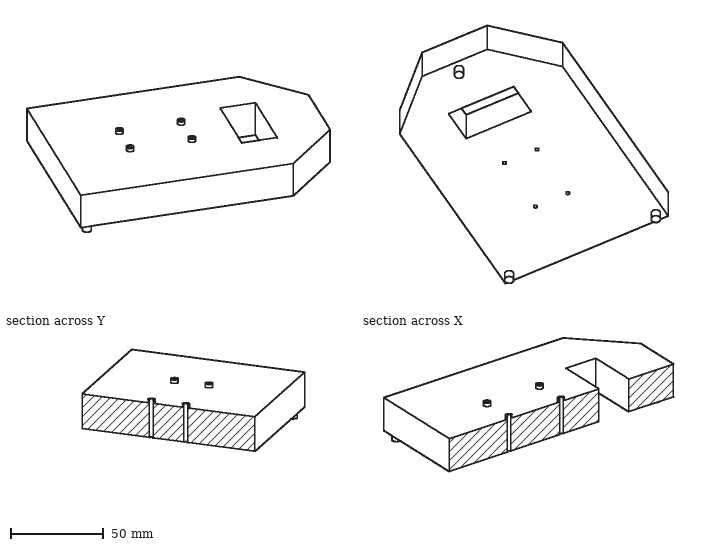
import cadquery as cq

length = 150
width = 100.0
total_height = 27
foot_height = 5.0
boss_height = 2.0
plate_thickness = total_height - foot_height - boss_height

corner_cut = 30
window_width = width - 2 * corner_cut
window_depth = 20.0
window_rear_edge = length - corner_cut

foot_diameter = 5.0
foot_inset = 5.0

boss_diameter = 4.0
bore_diameter = 2.0
boss_spacing_x = 20.0
boss_front_y = 40.0
boss_rear_y = 75

boss_points = [
    (side * boss_spacing_x / 2, y)
    for side in (-1, 1)
    for y in (boss_front_y, boss_rear_y)
]
foot_points = [
    (-width / 2 + foot_inset, foot_inset),
    (width / 2 - foot_inset, foot_inset),
    (0, length - foot_inset),
]


def cylinders(points, diameter, base_z, height):
    """Upright cylinders of one size, starting at base_z."""
    return (
        cq.Workplane("XY", origin=(0, 0, base_z))
        .pushPoints(points)
        .circle(diameter / 2)
        .extrude(height)
    )


plate = (
    cq.Workplane("XY")
    .box(width, length, plate_thickness, centered=(True, False, False))
    .edges("|Z and >Y")
    .chamfer(corner_cut)
)

window = cq.Workplane("XY", origin=(0, window_rear_edge - window_depth, 0)).box(
    window_width, window_depth, plate_thickness, centered=(True, False, False)
)

feet = cylinders(foot_points, foot_diameter, -foot_height, foot_height)

bosses = cylinders(boss_points, boss_diameter, plate_thickness, boss_height)
bores = cylinders(boss_points, bore_diameter, 0, plate_thickness + boss_height)

result = plate.cut(window).union(feet).union(bosses).cut(bores)